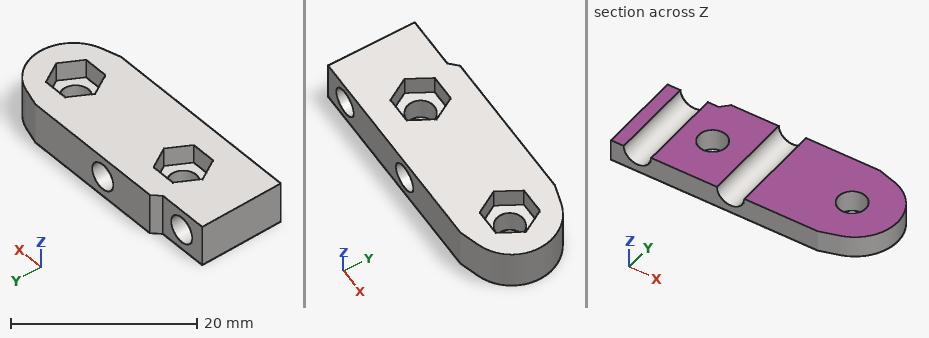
import cadquery as cq

length = 33.05
width = 12.0
height = 5.5
half_width = width / 2

relief_depth = 1.0
relief_length = 6.57

taper_start = 26.73
taper_end = 29.2
taper_half_width = 5.25

hole_diameter = 3.5
nut_hole_xs = (9.15, 27.15)
cross_hole_xs = (3.45, 15.45)

nut_across_corners = 6.48
nut_depth = 2.5


def make_body():
    """Extruded outline, symmetric about the X axis except for the relief."""
    return (
        cq.Workplane("XY")
        .moveTo(0, -half_width)
        .lineTo(taper_start, -half_width)
        .lineTo(taper_end, -taper_half_width)
        .threePointArc((length, 0), (taper_end, taper_half_width))
        .lineTo(taper_start, half_width)
        .lineTo(relief_length + relief_depth, half_width)
        .lineTo(relief_length, half_width - relief_depth)
        .lineTo(0, half_width - relief_depth)
        .close()
        .extrude(height)
    )


def make_nut_holes():
    """Vertical through holes with hexagonal pockets in the top face."""
    centers = [(x, 0) for x in nut_hole_xs]
    holes = cq.Workplane("XY").pushPoints(centers).circle(hole_diameter / 2).extrude(height)
    pockets = (
        cq.Workplane("XY", origin=(0, 0, height))
        .pushPoints(centers)
        .polygon(6, nut_across_corners)
        .extrude(-nut_depth)
    )
    return holes.union(pockets)


def make_cross_holes():
    """Through holes along Y at mid height."""
    return (
        cq.Workplane("XZ", origin=(0, 0, height / 2))
        .pushPoints([(x, 0) for x in cross_hole_xs])
        .circle(hole_diameter / 2)
        .extrude(half_width, both=True)
    )


result = make_body().cut(make_nut_holes()).cut(make_cross_holes())